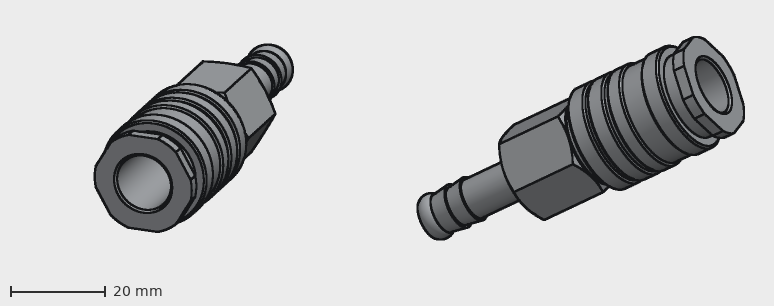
import cadquery as cq
import math

total_length = 73.5
flange_length = 2.65
sleeve_start = 6.2
sleeve_end = 29.6
hex_start = 31.7
hex_end = 48.65

flange_neck_radius = 9.5
sleeve_radius = 11.75
groove_radius = 11.25
hex_neck_radius = 9.0
sleeve_chamfer = 0.45
cutter_overshoot = 0.7

grooves = [(10.2, 16.1), (19.0, 20.7), (24.1, 25.65)]

hexagon_half_angle = 30.0
flange_radius = 11.0
flange_flat_distance = 10.5
nut_flat_distance = 9.5
nut_corner_radius = nut_flat_distance / math.cos(math.radians(hexagon_half_angle))
nut_chamfer_angle = 30.0

tail_radius = 4.5
barb_root_radius = 4.4
barb_radius = 5.0
bulb_start = 70.1
barb_length = 4.0
barb_count = 2
bulb_radius = 5.15

socket_radius = 6.1
socket_depth = sleeve_end
socket_chamfer = 0.5
passage_radius = 3.5


def cylinder(radius, start, end):
    """Cylinder on the Y axis between two Y positions."""
    return cq.Workplane("XZ", origin=(0, start, 0)).circle(radius).extrude(start - end)


def hexagon(flat_distance, start, end):
    """Hexagonal prism on the Y axis with flats facing +Z and -Z."""
    corner_diameter = 2 * flat_distance / math.cos(math.radians(hexagon_half_angle))
    return cq.Workplane("XZ", origin=(0, start, 0)).polygon(6, corner_diameter).extrude(start - end)


def revolve_about_y(profile):
    """Revolve an XY profile a full turn about the Y axis."""
    return profile.close().revolve(360, (0, 0, 0), (0, 1, 0))


def make_flange():
    return hexagon(flange_flat_distance, 0, flange_length).intersect(cylinder(flange_radius, 0, flange_length))


def make_sleeve():
    sleeve = cylinder(sleeve_radius, sleeve_start, sleeve_end).edges("%CIRCLE").chamfer(sleeve_chamfer)
    for start, end in grooves:
        cutter = revolve_about_y(
            cq.Workplane("XY")
            .moveTo(groove_radius, start + sleeve_chamfer)
            .lineTo(sleeve_radius, start)
            .lineTo(sleeve_radius + cutter_overshoot, start)
            .lineTo(sleeve_radius + cutter_overshoot, end)
            .lineTo(sleeve_radius, end)
            .lineTo(groove_radius, end - sleeve_chamfer)
        )
        sleeve = sleeve.cut(cutter)
    return sleeve


def make_nut():
    """Hexagonal nut whose corners are cut back by a cone at both ends."""
    corner_drop = (nut_corner_radius - nut_flat_distance) * math.tan(math.radians(nut_chamfer_angle))
    envelope = revolve_about_y(
        cq.Workplane("XY")
        .moveTo(0, hex_start)
        .lineTo(nut_flat_distance, hex_start)
        .lineTo(nut_corner_radius, hex_start + corner_drop)
        .lineTo(nut_corner_radius, hex_end - corner_drop)
        .lineTo(nut_flat_distance, hex_end)
        .lineTo(0, hex_end)
    )
    return hexagon(nut_flat_distance, hex_start, hex_end).intersect(envelope)


def make_tail():
    """Plain tube with tapered barbs and a rounded bulb at its tip."""
    barbs_start = bulb_start - barb_count * barb_length
    profile = cq.Workplane("XY").moveTo(0, hex_end).lineTo(tail_radius, hex_end).lineTo(tail_radius, barbs_start)
    for index in range(barb_count):
        barb_start = barbs_start + index * barb_length
        profile = profile.lineTo(barb_radius, barb_start).lineTo(barb_root_radius, barb_start + barb_length)
    bulb_middle = (bulb_start + total_length) / 2
    profile = (
        profile.lineTo(tail_radius, bulb_start)
        .threePointArc((bulb_radius, bulb_middle), (tail_radius, total_length))
        .lineTo(0, total_length)
    )
    return revolve_about_y(profile)


def make_bores():
    """Through passage and the wider socket with a chamfered mouth."""
    mouth = revolve_about_y(
        cq.Workplane("XY")
        .moveTo(0, 0)
        .lineTo(socket_radius + socket_chamfer, 0)
        .lineTo(socket_radius, socket_chamfer)
        .lineTo(0, socket_chamfer)
    )
    return cylinder(passage_radius, 0, total_length).union(cylinder(socket_radius, 0, socket_depth)).union(mouth)


result = (
    make_flange()
    .union(cylinder(flange_neck_radius, flange_length, sleeve_start))
    .union(make_sleeve())
    .union(cylinder(hex_neck_radius, sleeve_end, hex_start))
    .union(make_nut())
    .union(make_tail())
    .cut(make_bores())
)